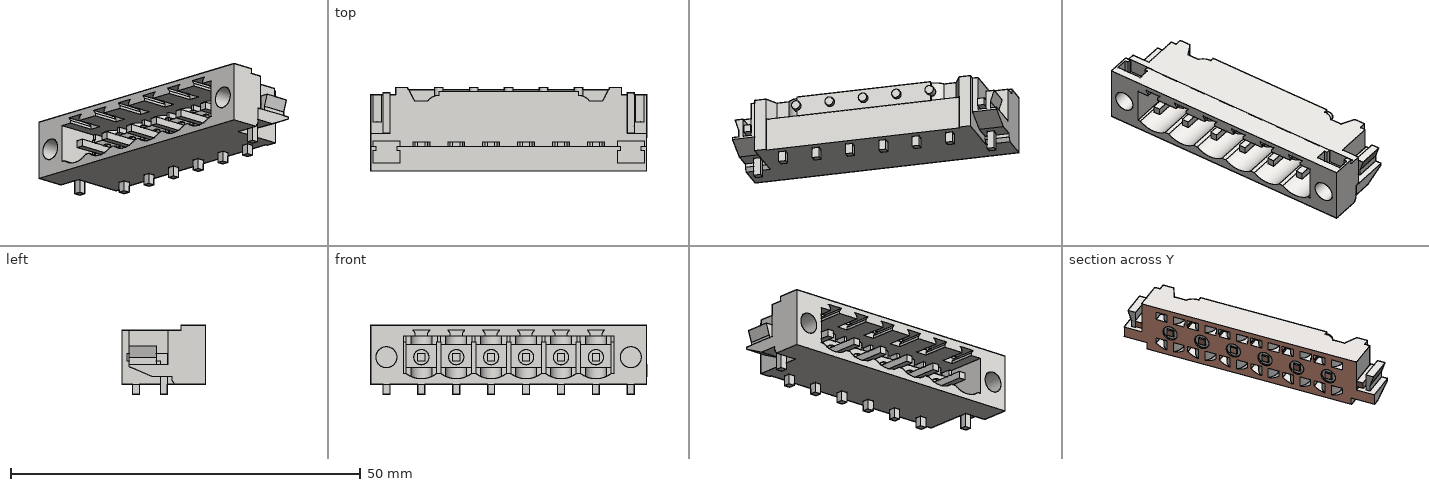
import cadquery as cq

pole_count = 6
pin_row_span = 35.0
pitch = pin_row_span / (pole_count + 1)
anchor_x = pin_row_span / 2

housing_width = 39.55
half_width = housing_width / 2
body_top = 7.75
band_top = 8.47
band_depth = 3.55
flange_depth = 5.4
side_inset = 2.77
core_inset = 3.6
side_wall_back = 10.95
core_back = 11.7
housing_depth = 12.0

pin_size = 1.03
pin_bottom = -1.45
pin_axis_z = 3.9
contact_tip_y = 1.0
contact_leg_back = 10.5
anchor_front = 5.45
anchor_back = 11.25

cavity_half = 15.1
cavity_floor = 1.55
cavity_top = 6.9
cavity_back = 7.92
scoop_depth = 0.75
cell_width = 4.35
rib_width = pitch - cell_width
rib_top_width = 0.45
rib_shoulder = 6.05
end_rib_width = 0.4
rib_front = 6.15
column_radius = 1.5
block_front = 6.35
block_bottom = 2.38
block_top = 5.7
recess_diameter = 2.18
recess_depth = 0.4

groove_length = 4.15
groove_top_width = 2.4
groove_neck_width = 1.75
groove_neck_top = 7.3

hole_diameter = 3.0
hole_depth = 4.35
slot_width = 3.9
slot_neck_width = 2.97
slot_front = 1.2
slot_neck_front = 2.97
slot_back = 4.35
slot_floor = 5.55

arm_front = 4.85
arm_bottom = 1.1
arm_top = 2.85
arm_tip_bottom = 2.55
arm_slope_front = 7.65
right_arm_overhang = 0.05
foot_chamfer_y = 4.45
foot_chamfer_z = 0.6
hook_front = 7.05
hook_top = 5.5
hook_bend_z = 3.8
hook_outer_inset = 0.35
hook_stem_inset = 0.9
hook_inner_inset = 1.6

shelf_top = 4.75
roof_back = 11.45
tab_end_inset = 5.3
notch_outer_inset = 6.35
notch_inner_inset = 8.15
notch_curve_end_inset = 9.8
notch_bottom_y = 10.0
notch_curve_mid = (8.9, 10.65)
notch_curve_end_y = 10.85
nub_radius = 0.65
nub_axis_z = 6.35

pole_xs = [(i - (pole_count - 1) / 2) * pitch for i in range(pole_count)]
wall_xs = [(i - (pole_count - 2) / 2) * pitch for i in range(pole_count - 1)]
pin_bottom_z = pin_axis_z - pin_size / 2
pin_top_z = pin_axis_z + pin_size / 2


def box(x0, x1, y0, y1, z0, z1):
    """Box between two corners."""
    return cq.Workplane("XY").box(x1 - x0, y1 - y0, z1 - z0, centered=False).translate((x0, y0, z0))


def centred_box(x, width, y0, y1, z0, z1):
    """Box centred on x."""
    return box(x - width / 2, x + width / 2, y0, y1, z0, z1)


def extrude_along_x(sketch_points, x0, x1):
    """Prism of a closed (Y, Z) outline between two X positions."""
    return cq.Workplane("YZ").polyline(sketch_points).close().extrude(x1 - x0).translate((x0, 0, 0))


def cylinder_along_y(x, z, radius, y0, y1):
    """Cylinder parallel to Y."""
    return cq.Workplane("XZ", origin=(x, y0, z)).circle(radius).extrude(y0 - y1)


def both_ends(shape):
    """The left-hand shape joined with its mirror image."""
    return shape.union(shape.mirror("YZ"))


def envelope():
    front = extrude_along_x(
        [
            (0, 0),
            (foot_chamfer_y, 0),
            (arm_front, foot_chamfer_z),
            (arm_front, arm_bottom),
            (flange_depth, arm_bottom),
            (flange_depth, body_top),
            (band_depth, body_top),
            (band_depth, band_top),
            (0, band_top),
        ],
        -half_width,
        half_width,
    )
    core_half = half_width - core_inset
    core = box(-core_half, core_half, 0, housing_depth, 0, body_top)
    side_half = half_width - side_inset
    side_walls = extrude_along_x(
        [
            (arm_front, arm_bottom),
            (arm_slope_front, arm_bottom),
            (side_wall_back, arm_tip_bottom),
            (side_wall_back, body_top),
            (arm_front, body_top),
        ],
        -side_half,
        side_half,
    )
    return front.union(core).union(side_walls)


def rear_relief():
    """Material removed behind the roof and behind the core, between the two rear tabs."""
    tab_x = half_width - tab_end_inset
    outer_x = half_width - notch_outer_inset
    inner_x = half_width - notch_inner_inset
    end_x = half_width - notch_curve_end_inset
    mid_x = half_width - notch_curve_mid[0]
    mid_y = notch_curve_mid[1]
    roof_cut = (
        cq.Workplane("XY", origin=(0, 0, shelf_top))
        .moveTo(-tab_x, housing_depth)
        .lineTo(-outer_x, notch_bottom_y)
        .lineTo(-inner_x, notch_bottom_y)
        .threePointArc((-mid_x, mid_y), (-end_x, notch_curve_end_y))
        .lineTo(-end_x, roof_back)
        .lineTo(end_x, roof_back)
        .lineTo(end_x, notch_curve_end_y)
        .threePointArc((mid_x, mid_y), (inner_x, notch_bottom_y))
        .lineTo(outer_x, notch_bottom_y)
        .lineTo(tab_x, housing_depth)
        .close()
        .extrude(body_top - shelf_top)
    )
    return roof_cut.union(box(-tab_x, tab_x, core_back, housing_depth, 0, shelf_top))


def rear_nubs():
    nubs = cq.Workplane("XY")
    for x in wall_xs:
        nubs = nubs.union(cylinder_along_y(x, nub_axis_z, nub_radius, notch_curve_end_y, housing_depth))
    return nubs


def clip_arm(overhang):
    """Left-hand arm with its hook; overhang is how far it stands out past the flange end."""
    arm = extrude_along_x(
        [
            (arm_front, arm_bottom),
            (arm_slope_front, arm_bottom),
            (side_wall_back, arm_tip_bottom),
            (side_wall_back, arm_top),
            (arm_front, arm_top),
        ],
        -half_width - overhang,
        -half_width + side_inset,
    )
    hook = (
        cq.Workplane("XZ", origin=(-half_width, hook_front, 0))
        .polyline(
            [
                (hook_inner_inset, arm_top),
                (hook_stem_inset, arm_top),
                (hook_stem_inset, hook_bend_z),
                (hook_outer_inset, hook_top),
                (hook_inner_inset, hook_top),
            ]
        )
        .close()
        .extrude(hook_front - side_wall_back)
    )
    return arm.union(hook)


def cavity():
    space = box(-cavity_half, cavity_half, 0, cavity_back, cavity_floor, cavity_top)
    for x in pole_xs:
        scoop = (
            cq.Workplane("XZ")
            .moveTo(x - cell_width / 2, cavity_floor)
            .threePointArc((x, cavity_floor - scoop_depth), (x + cell_width / 2, cavity_floor))
            .close()
            .extrude(-cavity_back)
        )
        space = space.union(scoop)
    return space


def pole_support(x):
    """Block around one contact, standing on a rounded column against the cavity's back wall."""
    column_bottom = cavity_floor - scoop_depth
    column = (
        cq.Workplane("XY", origin=(x, cavity_back, column_bottom))
        .circle(column_radius)
        .extrude(cavity_top - column_bottom)
    )
    block = centred_box(x, cell_width, block_front, cavity_back, block_bottom, block_top)
    recess = cylinder_along_y(x, pin_axis_z, recess_diameter / 2, block_front, block_front + recess_depth)
    return column.union(block).cut(recess)


def dividing_ribs():
    ribs = cq.Workplane("XY")
    for x in wall_xs:
        ribs = ribs.union(centred_box(x, rib_width, rib_front, cavity_back, cavity_floor, rib_shoulder))
        ribs = ribs.union(centred_box(x, rib_top_width, block_front, cavity_back, rib_shoulder, cavity_top))
    end_x = -cavity_half + end_rib_width
    end_rib = box(-cavity_half, end_x, rib_front, cavity_back, cavity_floor, rib_shoulder)
    end_rib = end_rib.union(box(-cavity_half, end_x, block_front, cavity_back, rib_shoulder, cavity_top))
    return ribs.union(both_ends(end_rib))


def coding_groove(x):
    half_top = groove_top_width / 2
    half_neck = groove_neck_width / 2
    return (
        cq.Workplane("XZ")
        .polyline(
            [
                (x - half_neck, cavity_top),
                (x - half_neck, groove_neck_top),
                (x - half_top, body_top),
                (x + half_top, body_top),
                (x + half_neck, groove_neck_top),
                (x + half_neck, cavity_top),
            ]
        )
        .close()
        .extrude(-groove_length)
    )


def flange_openings():
    hole = cylinder_along_y(-anchor_x, pin_axis_z, hole_diameter / 2, 0, hole_depth)
    nut_slot = centred_box(-anchor_x, slot_width, slot_front, slot_neck_front, slot_floor, band_top)
    neck = centred_box(-anchor_x, slot_neck_width, slot_neck_front, band_depth, slot_floor, band_top)
    rear_slot = centred_box(-anchor_x, slot_width, band_depth, slot_back, slot_floor, band_top)
    return both_ends(hole.union(nut_slot).union(neck).union(rear_slot))


def angled_pin(x, bar_front, bar_back, leg_back):
    """Square pin: a bar along Y with a leg down to the board."""
    bar = centred_box(x, pin_size, bar_front, bar_back, pin_bottom_z, pin_top_z)
    leg = centred_box(x, pin_size, leg_back - pin_size, leg_back, pin_bottom, pin_top_z)
    return bar.union(leg)


contact_pins = [angled_pin(x, contact_tip_y, contact_leg_back, contact_leg_back) for x in pole_xs]
anchor_pins = [
    angled_pin(x, anchor_front, anchor_back, anchor_front + pin_size) for x in (-anchor_x, anchor_x)
]

housing = envelope().cut(rear_relief()).union(rear_nubs())
housing = housing.union(clip_arm(0)).union(clip_arm(right_arm_overhang).mirror("YZ"))
housing = housing.cut(cavity()).cut(flange_openings())
for pole_x in pole_xs:
    housing = housing.union(pole_support(pole_x)).cut(coding_groove(pole_x))
housing = housing.union(dividing_ribs())
for pin in contact_pins + anchor_pins:
    housing = housing.cut(pin)

result = cq.Compound.makeCompound(
    [housing.val()] + [pin.val() for pin in contact_pins] + [pin.val() for pin in anchor_pins]
)